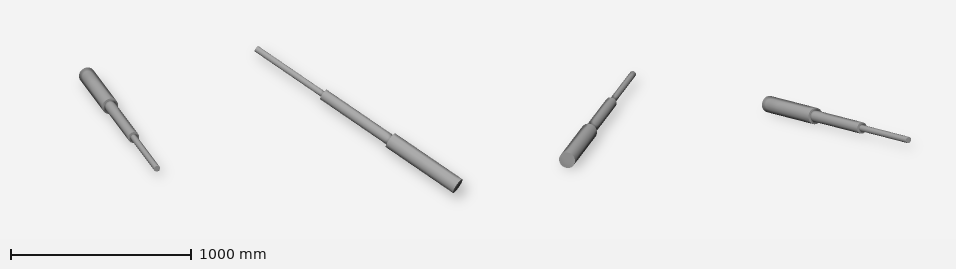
import cadquery as cq

total_length = 1374.0
large_diameter = 92.0
small_diameter = 36.0
tip_chamfer = 1.0

middle_diameter = (large_diameter + small_diameter) / 2
diameters = [large_diameter, middle_diameter, small_diameter]
stage_length = total_length / len(diameters)

rod = cq.Workplane("YZ", origin=(-total_length / 2, 0, 0))
for diameter in diameters:
    rod = rod.circle(diameter / 2).extrude(stage_length).faces(">X").workplane()

result = cq.Workplane(rod.findSolid()).faces(">X").chamfer(tip_chamfer)